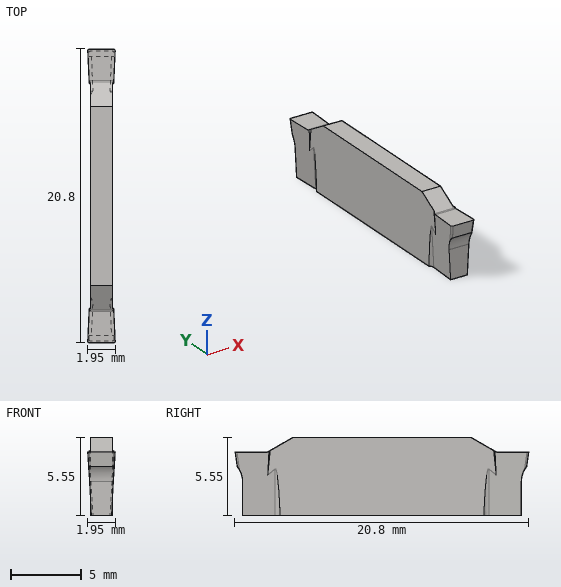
import cadquery as cq
import math

length = 20.83
height = 5.55
body_width = 1.58

head_width = 1.95
head_top = 4.5
inward_taper = 0.045
downward_taper = 0.055
head_length = 2.4
step_lean = 0.05
front_radius = 0.12
step_length = 0.33

ramp_angle = 30.0
ramp_end = 4.08
ramp_blend_radius = 0.23
front_lean = 0.15
front_depth = 1.02
shank_inset = 0.52
shank_depth = 2.08

relief_length = 2.83
relief_radius = 0.42
relief_sweep = 60.0
clearance = 0.42

half_length = length / 2
ramp_start = ramp_end - (height - head_top) / math.tan(math.radians(ramp_angle))


def head_half_width(distance, z):
    """Half width of the head at a distance from its outer end and a height."""
    return head_width / 2 - inward_taper * (distance - front_radius) - downward_taper * (head_top - z)


def make_profile():
    """Half of the long YZ profile, from the -Y end to the middle, wider than the heads."""
    front_z = head_top - front_depth
    shank_z = head_top - shank_depth
    run = shank_inset - front_lean
    rise = front_z - shank_z
    radius = (run**2 + rise**2) / (2 * run)
    half_sweep = math.asin(rise / radius) / 2
    arc_middle = (
        shank_inset - radius * (1 - math.cos(half_sweep)),
        shank_z + radius * math.sin(half_sweep),
    )
    profile = (
        cq.Workplane("YZ", origin=(0, -half_length, 0))
        .moveTo(half_length, 0)
        .lineTo(shank_inset, 0)
        .lineTo(shank_inset, shank_z)
        .threePointArc(arc_middle, (front_lean, front_z))
        .lineTo(0, head_top)
        .lineTo(ramp_start, head_top)
        .lineTo(ramp_end, height)
        .lineTo(half_length, height)
        .close()
        .extrude(head_width, both=True)
    )
    blend_y = ramp_start - half_length
    blend_edge = cq.selectors.NearestToPointSelector((0, blend_y, head_top))
    return profile.edges(blend_edge).fillet(ramp_blend_radius)


def make_head():
    """Tapered head block, stepping in at 45 degrees to end inside the body."""

    def section(z):
        step_start = head_length - step_lean * (head_top - z)
        outer = head_half_width(0, z)
        inner = head_half_width(step_start, z)
        root = inner - step_length
        y_outer = -half_length
        y_inner = y_outer + step_start
        y_root = y_inner + step_length
        right_side = [(outer, y_outer), (inner, y_inner), (root, y_root)]
        left_side = [(-x, y) for x, y in reversed(right_side)]
        plane = cq.Workplane("XY", origin=(0, 0, z))
        return plane.polyline(right_side + left_side).close().val()

    return cq.Workplane(cq.Solid.makeLoft([section(0), section(height)], True))


def make_relief():
    """Cutter on the +X side that follows the head side and sweeps out of the body."""
    slope = math.atan(inward_taper)

    def section(z):
        outer = head_half_width(-clearance, z)
        inner = head_half_width(relief_length, z)
        y_outer = -half_length - clearance
        y_inner = -half_length + relief_length
        center_x = inner + relief_radius * math.cos(slope)
        center_y = y_inner + relief_radius * math.sin(slope)
        first = math.pi + slope

        def arc_point(fraction):
            angle = first - fraction * math.radians(relief_sweep)
            return (
                center_x + relief_radius * math.cos(angle),
                center_y + relief_radius * math.sin(angle),
            )

        far_x = outer + clearance
        start = arc_point(0)
        end = arc_point(1)
        return (
            cq.Workplane("XY", origin=(0, 0, z))
            .moveTo(outer, y_outer)
            .lineTo(*start)
            .threePointArc(arc_point(0.5), end)
            .lineTo(far_x, end[1])
            .lineTo(far_x, y_outer)
            .close()
            .val()
        )

    return cq.Workplane(cq.Solid.makeLoft([section(0), section(height)], True))


def round_front_corners(part):
    """Round the two upright corners of the front face."""
    y_low = -half_length - clearance
    y_high = -half_length + front_lean
    z_low = head_top - front_depth
    inside_x = body_width / 4
    right = cq.selectors.BoxSelector((inside_x, y_low, z_low), (head_width, y_high, height))
    left = cq.selectors.BoxSelector((-head_width, y_low, z_low), (-inside_x, y_high, height))
    return part.edges(right + left).fillet(front_radius)


relief = make_relief()
body = cq.Workplane("XY").box(body_width, length, height, centered=(True, True, False))
body = body.cut(relief).cut(relief.mirror("YZ"))
half = body.union(make_head()).intersect(make_profile())
half = round_front_corners(half)

result = half.union(half.mirror("XZ")).clean()